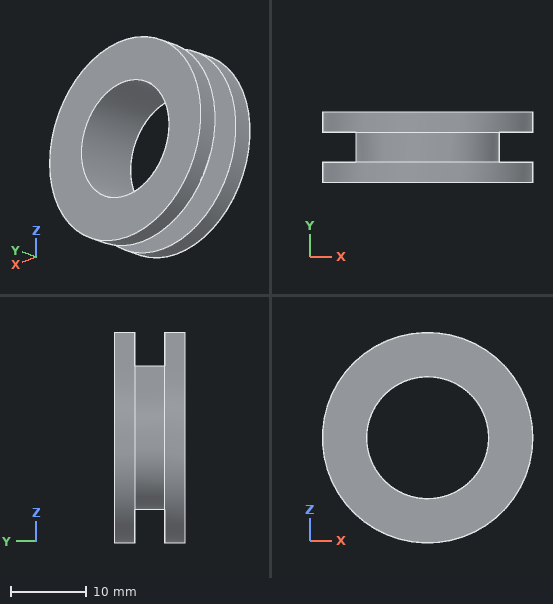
import cadquery as cq

flange_diameter = 27.94
hub_diameter = 19.05
bore_diameter = 16.15
total_width = 9.4
groove_width = 3.96

flange_width = (total_width - groove_width) / 2


def disc(diameter, y_start, width):
    """Solid disc on the Y axis, growing from y_start toward +Y."""
    return (
        cq.Workplane("XZ")
        .workplane(offset=-y_start)
        .circle(diameter / 2)
        .extrude(-width)
    )


front_flange = disc(flange_diameter, -total_width / 2, flange_width)
back_flange = disc(flange_diameter, groove_width / 2, flange_width)
hub = disc(hub_diameter, -total_width / 2, total_width)
bore = disc(bore_diameter, -total_width / 2, total_width)

result = hub.union(front_flange).union(back_flange).cut(bore)